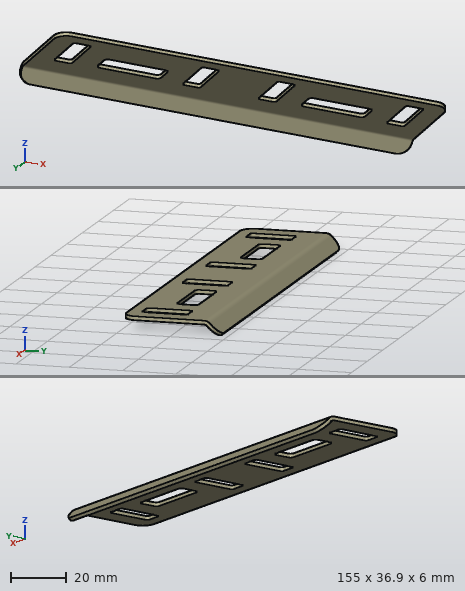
import cadquery as cq
import math

length = 155.0
width = 36.9
height = 6.0
thickness = 1.5
bend_angle = 45.0
bend_radius_inner = 1.5
corner_radius = 5.0

upright_slot_width = 7.0
upright_slot_length = 17.0
upright_slot_y = 13.5
inner_slot_x = 15.0
outer_slot_x = 66.0
long_slot_length = 25.1
long_slot_width = 8.0
long_slot_x = (inner_slot_x + outer_slot_x) / 2
long_slot_y = 17.0
upright_slot_corner = 1.0
long_slot_corner = 1.5

bend_radius_outer = bend_radius_inner + thickness
angle = math.radians(bend_angle)
bend_drop = bend_radius_outer * (1 - math.cos(angle))
flange_drop = height - thickness * math.cos(angle) - bend_drop
flange_length = flange_drop / math.sin(angle)
bend_y = width - bend_radius_outer * math.sin(angle) - flange_length * math.cos(angle)


def bend_point(radius, turn):
    """Point (y, z) on a bend arc; the web top face lies at z = 0."""
    return (bend_y + radius * math.sin(turn), radius * math.cos(turn) - bend_radius_outer)


def along_flange(point):
    return (point[0] + flange_length * math.cos(angle), point[1] - flange_length * math.sin(angle))


def bent_sheet():
    outer_end = bend_point(bend_radius_outer, angle)
    inner_end = bend_point(bend_radius_inner, angle)
    profile = (
        cq.Workplane("YZ")
        .moveTo(0, 0)
        .lineTo(bend_y, 0)
        .threePointArc(bend_point(bend_radius_outer, angle / 2), outer_end)
        .lineTo(*along_flange(outer_end))
        .lineTo(*along_flange(inner_end))
        .lineTo(*inner_end)
        .threePointArc(bend_point(bend_radius_inner, angle / 2), bend_point(bend_radius_inner, 0))
        .lineTo(0, -thickness)
        .close()
    )
    return profile.extrude(length / 2, both=True)


def slot_cutter(x, y, size_x, size_y, corner):
    return (
        cq.Workplane("XY")
        .box(size_x, size_y, 4 * thickness)
        .edges("|Z")
        .fillet(corner)
        .translate((x, y, 0))
    )


def round_corners(sheet):
    """Round the two web corners and the two flange corners, each across the sheet thickness."""
    across_flange = cq.Vector(0, math.sin(angle), math.cos(angle))
    sheet = sheet.edges("|Z").edges("<Y").fillet(corner_radius)
    flange_corners = sheet.edges(cq.selectors.ParallelDirSelector(across_flange)).edges(">Y")
    return flange_corners.fillet(corner_radius)


result = round_corners(bent_sheet())
for side in (-1, 1):
    for slot_x in (inner_slot_x, outer_slot_x):
        result = result.cut(
            slot_cutter(
                side * slot_x, upright_slot_y, upright_slot_width, upright_slot_length, upright_slot_corner
            )
        )
    result = result.cut(
        slot_cutter(side * long_slot_x, long_slot_y, long_slot_length, long_slot_width, long_slot_corner)
    )